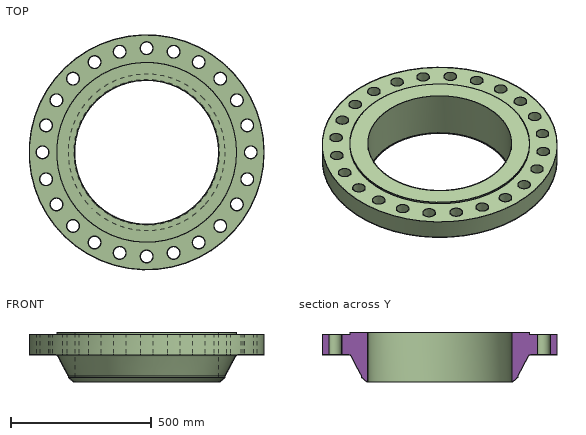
import cadquery as cq
import math

flange_diameter = 838.0
flange_thickness = 74.0

face_diameter = 641.0
face_height = 7.0

total_height = 178.0
hub_top_diameter = 639.0
hub_fillet_radius = 12.0
hub_end_diameter = 559.0
weld_end_diameter = 520.0
weld_bevel_height = 17.0
weld_land_height = 5.0
bore_diameter = 513.0

bolt_count = 24
bolt_circle_diameter = 743.0
bolt_hole_diameter = 44.5

disc_top = total_height - face_height
disc_bottom = disc_top - flange_thickness
taper_bottom = weld_bevel_height + weld_land_height

taper_angle = math.atan2((hub_top_diameter - hub_end_diameter) / 2, disc_bottom - taper_bottom)
fillet_setback = hub_fillet_radius * math.tan((math.pi / 2 - taper_angle) / 2)
fillet_start_radius = hub_top_diameter / 2 - fillet_setback * math.sin(taper_angle)
fillet_start_level = disc_bottom - fillet_setback * math.cos(taper_angle)
fillet_end_radius = hub_top_diameter / 2 + fillet_setback


def make_body():
    """Revolve the solid half profile of the flange around the Z axis."""
    return (
        cq.Workplane("XZ")
        .lineTo(weld_end_diameter / 2, 0)
        .lineTo(hub_end_diameter / 2, weld_bevel_height)
        .lineTo(hub_end_diameter / 2, taper_bottom)
        .lineTo(fillet_start_radius, fillet_start_level)
        .tangentArcPoint((fillet_end_radius, disc_bottom), relative=False)
        .lineTo(flange_diameter / 2, disc_bottom)
        .lineTo(flange_diameter / 2, disc_top)
        .lineTo(face_diameter / 2, disc_top)
        .lineTo(face_diameter / 2, total_height)
        .lineTo(0, total_height)
        .close()
        .revolve(360, (0, 0), (0, 1))
    )


def make_bore():
    return cq.Workplane("XY").circle(bore_diameter / 2).extrude(total_height)


def make_bolt_holes():
    """Through holes evenly spaced on the bolt circle, the first on the X axis."""
    return (
        cq.Workplane("XY", origin=(0, 0, disc_bottom))
        .polarArray(bolt_circle_diameter / 2, 0, 360, bolt_count)
        .circle(bolt_hole_diameter / 2)
        .extrude(flange_thickness)
    )


result = make_body().cut(make_bore()).cut(make_bolt_holes())